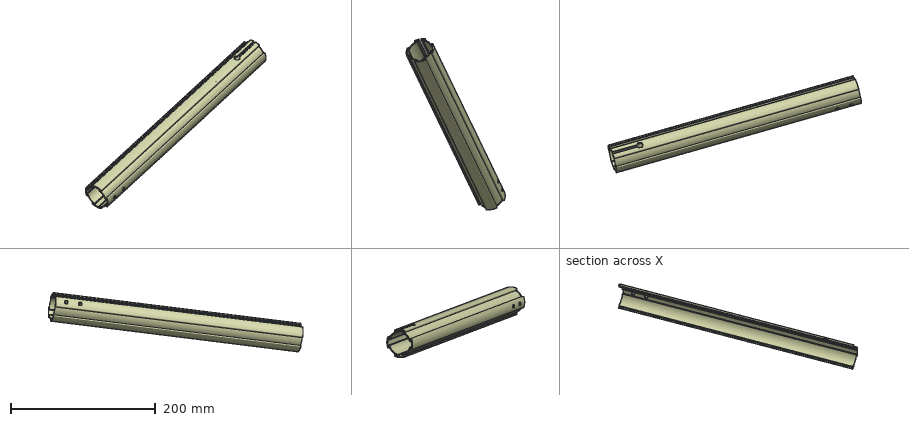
import cadquery as cq
import math

length = 355.0
outer_radius = 20.0
cap_thickness = 2.0
cap_inner_radius = outer_radius - cap_thickness
cap_width = 16.0
lip_fillet = 0.9
cap_count = 4
cap_pitch = 360.0 / cap_count

groove_gap = 0.9
wall_outer_radius = cap_inner_radius - groove_gap
wall_thickness = 1.4
wall_inner_radius = wall_outer_radius - wall_thickness
web_half_spacing = 3.8
web_thickness = 0.8
web_fillet = 1.2

slot_width = 3.0
slot_length = 40.0
keyhole_diameter = 8.0

cross_hole_diameter = 5.0
cross_hole_offsets = (15.0, 35.0)

front_y = -length / 2
back_y = length / 2


def polar(radius, angle):
    """Point at a radius and an angle in degrees."""
    return radius * math.cos(math.radians(angle)), radius * math.sin(math.radians(angle))


def angle_at(offset, radius):
    """Angle in degrees at which a circle lies a given offset away from the cap centre line."""
    return math.degrees(math.asin(offset / radius))


def stepped_prism(steps):
    """Full-length prism whose outline is concentric arcs joined by straight steps.

    Each step is (radius, start angle, end angle) and the set repeats at every cap.
    """
    arcs = [
        (radius, start + i * cap_pitch, end + i * cap_pitch)
        for i in range(cap_count)
        for radius, start, end in steps
    ]
    first_radius, first_start, _ = arcs[0]
    loop = cq.Workplane("XZ").moveTo(*polar(first_radius, first_start))
    for i, (radius, start, end) in enumerate(arcs):
        if i > 0:
            loop = loop.lineTo(*polar(radius, start))
        loop = loop.threePointArc(polar(radius, (start + end) / 2), polar(radius, end))
    return loop.close().extrude(length / 2, both=True)


def round_edges(prism, edge_radius, fillet_radius):
    """Fillet the lengthwise edges that lie at a given distance from the tube axis."""
    tolerance = 0.01
    edges = [
        edge
        for edge in prism.edges("|Y").vals()
        if abs(math.hypot(edge.Center().x, edge.Center().z) - edge_radius) < tolerance
    ]
    return prism.newObject(edges).fillet(fillet_radius)


def outer_prism():
    """Outside of the tube: caps with overhanging lips above the wall segments."""
    groove_end = web_half_spacing + web_thickness
    lip_outer = angle_at(cap_width / 2, outer_radius)
    lip_inner = angle_at(cap_width / 2, cap_inner_radius)
    groove_top = angle_at(groove_end, cap_inner_radius)
    groove_bottom = angle_at(groove_end, wall_outer_radius)
    prism = stepped_prism([
        (outer_radius, -lip_outer, lip_outer),
        (cap_inner_radius, lip_inner, groove_top),
        (wall_outer_radius, groove_bottom, cap_pitch - groove_bottom),
        (cap_inner_radius, cap_pitch - groove_top, cap_pitch - lip_inner),
    ])
    return round_edges(prism, outer_radius, lip_fillet)


def bore():
    """Inside of the tube: a round bore with a recess under each cap, between its webs."""
    web_top = angle_at(web_half_spacing, cap_inner_radius)
    web_bottom = angle_at(web_half_spacing, wall_inner_radius)
    prism = stepped_prism([
        (cap_inner_radius, -web_top, web_top),
        (wall_inner_radius, web_bottom, cap_pitch - web_bottom),
    ])
    return round_edges(prism, wall_inner_radius, web_fillet)


def keyhole():
    top = cq.Workplane("XY")
    slot = top.center(0, back_y - slot_length / 2).rect(slot_width, slot_length).extrude(outer_radius)
    hole = top.center(0, back_y - slot_length).circle(keyhole_diameter / 2).extrude(outer_radius)
    return slot.union(hole)


def cross_holes():
    centers = [(front_y + offset, 0) for offset in cross_hole_offsets]
    side = cq.Workplane("YZ").pushPoints(centers)
    return side.circle(cross_hole_diameter / 2).extrude(outer_radius, both=True)


result = outer_prism().cut(bore()).cut(keyhole()).cut(cross_holes())